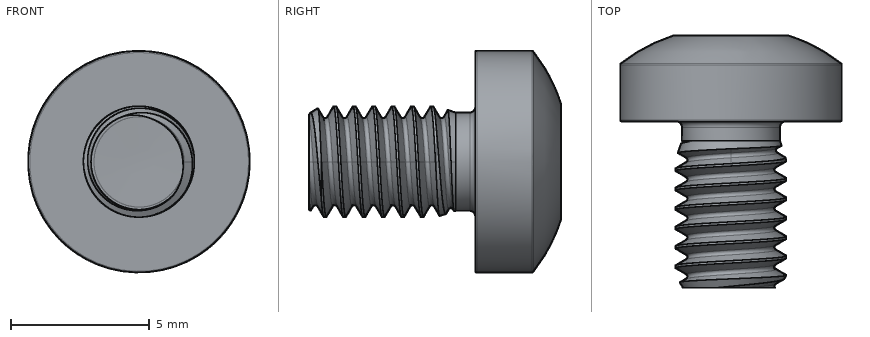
import cadquery as cq
import math

total_length = 9.1
head_height = 3.1
head_radius = 3.999
dome_height = 1.03
dome_radius = 6.64
dome_flat_radius = 2.075
edge_round = 0.055
neck_fillet = 0.2
thread_radius = 2
pitch = 0.7
tip_radius = 1.73
tip_chamfer_length = 0.45
tip_dish_radius = 1.63
tip_dish_depth = 0.05
groove_start = -0.64
full_depth_turns = 7.75

flank_half_angle = math.radians(30)
sharp_depth = (7 / 16) * pitch / math.tan(flank_half_angle)
sharp_radius = thread_radius - sharp_depth
root_round = 0.144 * pitch
root_radius = sharp_radius + root_round * (1 / math.sin(flank_half_angle) - 1)
pitch_radius = thread_radius - 3 * math.sqrt(3) / 16 * pitch
cutter_overshoot = 0.04
CYLINDRICAL = 360

shank_length = total_length - head_height
neck_length = pitch
thread_end = shank_length - neck_length
runout_angle = math.degrees(math.atan((thread_radius - pitch_radius) / pitch))


def make_head():
    shoulder = total_length - dome_height
    mid_radius = (dome_flat_radius + head_radius) / 2
    dome_center = total_length - math.sqrt(dome_radius**2 - dome_flat_radius**2)
    mid_height = dome_center + math.sqrt(dome_radius**2 - mid_radius**2)
    head = (
        cq.Workplane("XZ")
        .moveTo(0, shank_length)
        .lineTo(head_radius, shank_length)
        .lineTo(head_radius, shoulder)
        .threePointArc((mid_radius, mid_height), (dome_flat_radius, total_length))
        .lineTo(0, total_length)
        .close()
        .revolve(360, (0, 0), (0, 1))
    )
    return head.faces("%CYLINDER").edges("%CIRCLE").fillet(edge_round)


def make_neck():
    """Plain neck of pitch radius, flaring into the underside of the head."""
    flare_middle = neck_fillet * (1 - math.sqrt(0.5))
    return (
        cq.Workplane("XZ")
        .moveTo(0, thread_end)
        .lineTo(pitch_radius, thread_end)
        .lineTo(pitch_radius, shank_length - neck_fillet)
        .threePointArc(
            (pitch_radius + flare_middle, shank_length - flare_middle),
            (pitch_radius + neck_fillet, shank_length),
        )
        .lineTo(0, shank_length)
        .close()
        .revolve(360, (0, 0), (0, 1))
    )


def make_thread_blank():
    """Thread crest envelope, coned at the tip and towards the neck, with a dished end."""
    outline = [
        (0, tip_dish_depth),
        (tip_dish_radius, 0),
        (tip_radius, 0),
        (thread_radius, tip_chamfer_length),
        (thread_radius, thread_end - pitch),
        (pitch_radius, thread_end),
        (0, thread_end),
    ]
    return cq.Workplane("XZ").polyline(outline).close().revolve(360, (0, 0), (0, 1))


def make_groove(turns, cone_angle):
    """Helical cutter from angle 0 at height 0, widening its radius by cone_angle."""
    outer_radius = thread_radius + cutter_overshoot
    outer_half_width = (outer_radius - sharp_radius) * math.tan(flank_half_angle)
    tangent_radius = root_radius + root_round * (1 - math.sin(flank_half_angle))
    tangent_half_width = root_round * math.cos(flank_half_angle)
    profile = (
        cq.Workplane("XZ")
        .moveTo(outer_radius, -outer_half_width)
        .lineTo(tangent_radius, -tangent_half_width)
        .threePointArc((root_radius, 0), (tangent_radius, tangent_half_width))
        .lineTo(outer_radius, outer_half_width)
        .close()
    )
    path = cq.Wire.makeHelix(pitch, turns * pitch, root_radius, angle=cone_angle)
    return profile.sweep(cq.Workplane(path), isFrenet=True)


def cut_groove_section(blank, first_turn, turns, cone_angle):
    """Cut the stretch of groove that begins first_turn turns along the thread."""
    cutter = (
        make_groove(turns, cone_angle)
        .rotate((0, 0, 0), (0, 0, 1), 360 * first_turn)
        .translate((0, 0, groove_start + first_turn * pitch))
    )
    return blank.cut(cutter, clean=False)


def cut_thread(blank):
    """Cut the groove turn by turn, ending in one turn that runs out towards the neck."""
    for turn in range(math.ceil(full_depth_turns)):
        section_turns = min(1, full_depth_turns - turn)
        blank = cut_groove_section(blank, turn, section_turns, CYLINDRICAL)
    return cut_groove_section(blank, full_depth_turns, 1, runout_angle)


head_and_neck = make_neck().union(make_head())
screw = cut_thread(make_thread_blank()).union(head_and_neck, clean=False)

result = screw.rotate((0, 0, 0), (1, 0, 0), -90).translate((0, -total_length / 2, 0))